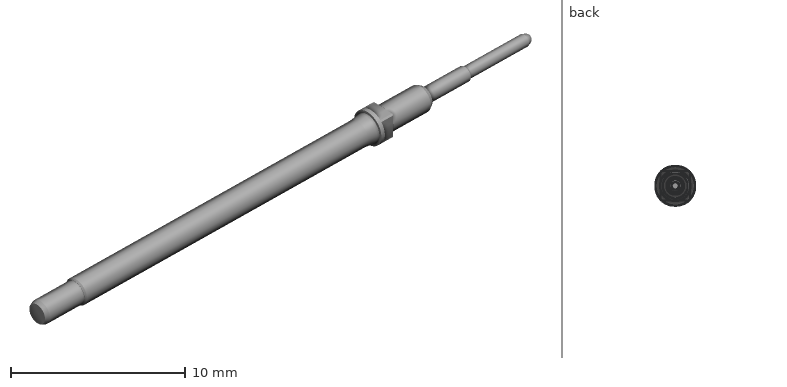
import cadquery as cq

TOTAL_LENGTH = 38.8
TIP_Y = TOTAL_LENGTH / 2
TAIL_Y = -TOTAL_LENGTH / 2

NEEDLE_DIAMETER = 0.8
SLEEVE_DIAMETER = 1.0
BODY_DIAMETER = 1.75
FLANGE_DIAMETER = 2.3
TAIL_DIAMETER = 1.55

NEEDLE_LENGTH = 4.95
SLEEVE_LENGTH = 3.35
FRONT_BODY_LENGTH = 3.22
SQUARE_LENGTH = 0.95
FLANGE_LENGTH = 0.27
COLLAR_LENGTH = 0.78
TAIL_LENGTH = 3.0

DOME_LENGTH = 0.4
DOME_BASE_RADIUS = 0.37
DOME_MID_RADIUS = 0.338
DOME_FACE_RADIUS = 0.215

SLEEVE_CHAMFER_LENGTH = 0.1
SLEEVE_CHAMFER_DEPTH = 0.08
BODY_FRONT_CHAMFER_LENGTH = 0.27
BODY_FRONT_CHAMFER_DEPTH = 0.15
BODY_REAR_CHAMFER_LENGTH = 0.1
BODY_REAR_CHAMFER_DEPTH = 0.08
TAIL_CHAMFER_LENGTH = 0.27
TAIL_CHAMFER_DEPTH = 0.1

COLLAR_DIAMETER = 1.95

SQUARE_WIDTH = 1.7

needle_radius = NEEDLE_DIAMETER / 2
sleeve_radius = SLEEVE_DIAMETER / 2
body_radius = BODY_DIAMETER / 2
flange_radius = FLANGE_DIAMETER / 2
collar_radius = COLLAR_DIAMETER / 2
tail_radius = TAIL_DIAMETER / 2

needle_end = TIP_Y - NEEDLE_LENGTH
body_front = needle_end - SLEEVE_LENGTH
square_front = body_front - FRONT_BODY_LENGTH
flange_front = square_front - SQUARE_LENGTH
flange_rear = flange_front - FLANGE_LENGTH
collar_rear = flange_rear - COLLAR_LENGTH
body_rear = TAIL_Y + TAIL_LENGTH


def turned_pin():
    """Half outline in (radius, y), revolved about the Y axis."""
    outline = (
        cq.Workplane("XY")
        .moveTo(0, TIP_Y)
        .lineTo(DOME_FACE_RADIUS, TIP_Y)
        .threePointArc((DOME_MID_RADIUS, TIP_Y - DOME_LENGTH / 2), (DOME_BASE_RADIUS, TIP_Y - DOME_LENGTH))
        .lineTo(needle_radius, TIP_Y - DOME_LENGTH)
        .lineTo(needle_radius, needle_end)
        .lineTo(sleeve_radius - SLEEVE_CHAMFER_DEPTH, needle_end)
        .lineTo(sleeve_radius, needle_end - SLEEVE_CHAMFER_LENGTH)
        .lineTo(sleeve_radius, body_front)
        .lineTo(body_radius - BODY_FRONT_CHAMFER_DEPTH, body_front)
        .lineTo(body_radius, body_front - BODY_FRONT_CHAMFER_LENGTH)
        .lineTo(body_radius, square_front)
        .lineTo(flange_radius, square_front)
        .lineTo(flange_radius, flange_rear)
        .lineTo(collar_radius, flange_rear)
        .lineTo(body_radius, collar_rear)
        .lineTo(body_radius, body_rear + BODY_REAR_CHAMFER_LENGTH)
        .lineTo(body_radius - BODY_REAR_CHAMFER_DEPTH, body_rear)
        .lineTo(tail_radius, body_rear)
        .lineTo(tail_radius, TAIL_Y + TAIL_CHAMFER_LENGTH)
        .lineTo(tail_radius - TAIL_CHAMFER_DEPTH, TAIL_Y)
        .lineTo(0, TAIL_Y)
        .close()
    )
    return outline.revolve(360, (0, 0, 0), (0, 1, 0))


def square_waste():
    """Material cut away to leave a square with round corners in front of the flange."""
    stock_width = 2 * FLANGE_DIAMETER
    stock = cq.Workplane("XY").box(stock_width, SQUARE_LENGTH, stock_width)
    square = cq.Workplane("XY").box(SQUARE_WIDTH, SQUARE_LENGTH, SQUARE_WIDTH)
    return stock.cut(square).translate((0, square_front - SQUARE_LENGTH / 2, 0))


result = turned_pin().cut(square_waste())